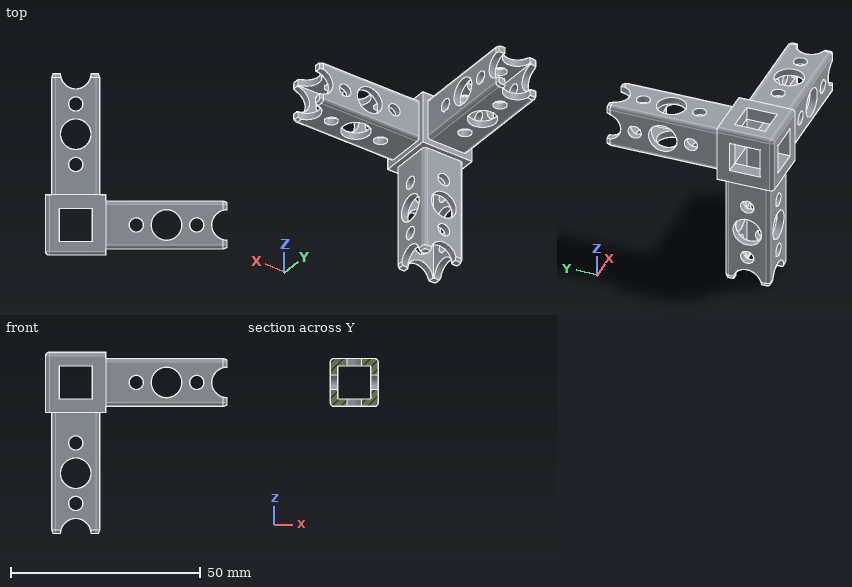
import cadquery as cq
import math

overall = 48.0
cube_side = overall / 3
arm_width = 12.7
bore_width = 8.65
edge_radius = 1.0
tip_length = 1.0
tip_inset = 0.4
large_hole_dia = 8.0
small_hole_dia = 3.7

arm_reach = overall - cube_side / 2
hole_pitch = cube_side / 2
first_hole = cube_side

cross_holes = [
    (first_hole, small_hole_dia),
    (first_hole + hole_pitch, large_hole_dia),
    (first_hole + 2 * hole_pitch, small_hole_dia),
    (first_hole + 3 * hole_pitch, large_hole_dia),
]


def corner_block():
    """Cube with its three outermost edges, and their shared corner, rounded."""
    block = cq.Workplane("XY").box(cube_side, cube_side, cube_side)
    outer_edges = block.edges("(<X and <Y) or (<X and >Z) or (<Y and >Z)")
    return outer_edges.fillet(edge_radius)


def point_arm(shape, direction):
    """Turn a shape lying along +X to lie along +X, +Y or -Z."""
    if direction == "+Y":
        return shape.rotate((0, 0, 0), (0, 0, 1), 90)
    if direction == "-Z":
        return shape.rotate((0, 0, 0), (0, 1, 0), 90)
    return shape


def arm_body():
    """Solid square arm along +X with rounded long edges and a tapered tip."""
    body = cq.Workplane("YZ").rect(arm_width, arm_width).extrude(arm_reach - tip_length)
    body = body.edges("|X").fillet(edge_radius)
    tip_taper = math.degrees(math.atan(tip_inset / tip_length))
    return body.faces(">X").wires().toPending().extrude(tip_length, taper=tip_taper)


def arm_cutter():
    """Square bore from the outer block face to the arm end, plus the cross holes."""
    bore = cq.Workplane("YZ").workplane(offset=-cube_side / 2)
    cutter = bore.rect(bore_width, bore_width).extrude(overall)
    for plane in ("XY", "XZ"):
        for distance, diameter in cross_holes:
            hole = cq.Workplane(plane).center(distance, 0).circle(diameter / 2)
            cutter = cutter.union(hole.extrude(arm_width, both=True))
    return cutter


directions = ("+X", "+Y", "-Z")

result = corner_block()
for direction in directions:
    result = result.union(point_arm(arm_body(), direction))
for direction in directions:
    result = result.cut(point_arm(arm_cutter(), direction))